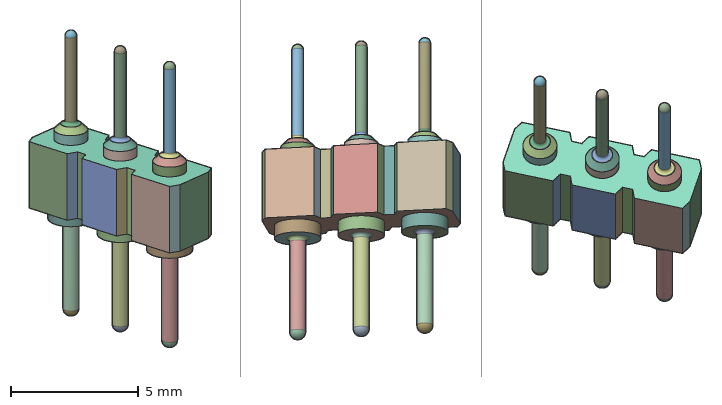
import cadquery as cq

PIN_COUNT = 3
HOUSING_LENGTH = 7.62
PITCH = HOUSING_LENGTH / PIN_COUNT
HOUSING_WIDTH = 2.55
HOUSING_BOTTOM = 4.68
HOUSING_TOP = 7.5
CORNER_LENGTH = 0.19
BEVEL_DEPTH = 0.41
NOTCH_FLOOR_WIDTH = 0.41
NOTCH_MOUTH_WIDTH = 0.78

UPPER_POST_RADIUS = 0.47 / 2
UPPER_FILLET = 0.15
COLLAR_RADIUS = 1.33 / 2
COLLAR_EDGE = 7.91
COLLAR_TOP = 8.17
COLLAR_TAPER = COLLAR_TOP - COLLAR_EDGE
UPPER_TIP = 12.12

LOWER_POST_RADIUS = 0.64 / 2
LOWER_FILLET = 0.15
FLANGE_RADIUS = 1.83 / 2
FLANGE_BOTTOM = 4.15
LOWER_TIP = 0.0

PIN_POSITIONS = [(i - (PIN_COUNT - 1) / 2) * PITCH for i in range(PIN_COUNT)]
NOTCH_POSITIONS = [x + PITCH / 2 for x in PIN_POSITIONS[:-1]]


def make_notch(x, side):
    """Trapezoidal cutter for one long face; side is +1 (rear) or -1 (front)."""
    face_y = side * HOUSING_WIDTH / 2
    floor_y = face_y - side * BEVEL_DEPTH
    return (
        cq.Workplane("XY", origin=(0, 0, HOUSING_BOTTOM))
        .polyline([
            (x - NOTCH_MOUTH_WIDTH / 2, face_y),
            (x - NOTCH_FLOOR_WIDTH / 2, floor_y),
            (x + NOTCH_FLOOR_WIDTH / 2, floor_y),
            (x + NOTCH_MOUTH_WIDTH / 2, face_y),
        ])
        .close()
        .extrude(HOUSING_TOP - HOUSING_BOTTOM)
    )


def make_housing():
    """Bevelled block with notches between cells and a through hole per pin."""
    end_x = HOUSING_LENGTH / 2
    side_y = HOUSING_WIDTH / 2
    bevel_x = end_x - CORNER_LENGTH
    bevel_y = side_y - BEVEL_DEPTH
    body = (
        cq.Workplane("XY", origin=(0, 0, HOUSING_BOTTOM))
        .polyline([
            (-end_x, -bevel_y),
            (-bevel_x, -side_y),
            (bevel_x, -side_y),
            (end_x, -bevel_y),
            (end_x, bevel_y),
            (bevel_x, side_y),
            (-bevel_x, side_y),
            (-end_x, bevel_y),
        ])
        .close()
        .extrude(HOUSING_TOP - HOUSING_BOTTOM)
    )
    for x in NOTCH_POSITIONS:
        for side in (-1, 1):
            body = body.cut(make_notch(x, side))
    holes = (
        cq.Workplane("XY", origin=(0, 0, HOUSING_BOTTOM))
        .pushPoints([(x, 0) for x in PIN_POSITIONS])
        .circle(COLLAR_RADIUS)
        .extrude(HOUSING_TOP - HOUSING_BOTTOM)
    )
    return body.cut(holes)


def make_upper_pin(x):
    """Revolved collar, filleted root and round-tipped post, filling the housing hole."""
    return (
        cq.Workplane("XZ", origin=(x, 0, 0))
        .moveTo(0, HOUSING_BOTTOM)
        .lineTo(COLLAR_RADIUS, HOUSING_BOTTOM)
        .lineTo(COLLAR_RADIUS, COLLAR_EDGE)
        .lineTo(COLLAR_RADIUS - COLLAR_TAPER, COLLAR_TOP)
        .lineTo(UPPER_POST_RADIUS + UPPER_FILLET, COLLAR_TOP)
        .radiusArc((UPPER_POST_RADIUS, COLLAR_TOP + UPPER_FILLET), UPPER_FILLET)
        .lineTo(UPPER_POST_RADIUS, UPPER_TIP - UPPER_POST_RADIUS)
        .radiusArc((0, UPPER_TIP), -UPPER_POST_RADIUS)
        .close()
        .revolve(360, (0, 0), (0, 1))
    )


def make_lower_pin(x):
    """Revolved flange, filleted root and round-tipped post."""
    return (
        cq.Workplane("XZ", origin=(x, 0, 0))
        .moveTo(0, HOUSING_BOTTOM)
        .lineTo(FLANGE_RADIUS, HOUSING_BOTTOM)
        .lineTo(FLANGE_RADIUS, FLANGE_BOTTOM)
        .lineTo(LOWER_POST_RADIUS + LOWER_FILLET, FLANGE_BOTTOM)
        .radiusArc((LOWER_POST_RADIUS, FLANGE_BOTTOM - LOWER_FILLET), -LOWER_FILLET)
        .lineTo(LOWER_POST_RADIUS, LOWER_TIP + LOWER_POST_RADIUS)
        .radiusArc((0, LOWER_TIP), LOWER_POST_RADIUS)
        .close()
        .revolve(360, (0, 0), (0, 1))
    )


housing = make_housing()
upper_pins = [make_upper_pin(x).val() for x in PIN_POSITIONS]
lower_pins = [make_lower_pin(x).val() for x in PIN_POSITIONS]

result = cq.Compound.makeCompound([housing.val(), *upper_pins, *lower_pins])